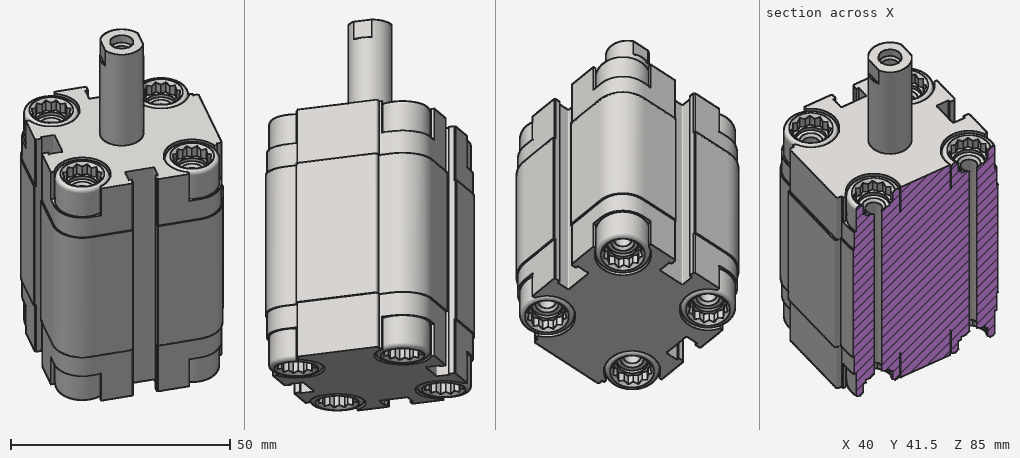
import cadquery as cq
import math

total_height = 85.0
housing_height = 59.5
end_height = 13.0

barrel_half_width = 40.0 / 2
end_half_width = 19.7
barrel_ledge_y = 41.5 - barrel_half_width
end_ledge_y = 21.0
ledge_half_width = 9.9
ledge_rounding = 0.5

slot_floor = 15.0
slot_lip_inner = 18.2
slot_half_width = 6.9 / 2
slot_mouth_half_width = 2.8
slot_rounding = 0.25

screw_offset = 13.0
head_radius = 12.5 / 2
seat_radius = 12.9 / 2
head_height = 7.6
head_fillet = 1.0
corner_cut_start = 10.45

socket_mouth_radius = 10.0 / 2
socket_point_radius = 4.6
socket_points = 12
socket_depth = 3.2
recess_radius = 7.2 / 2
recess_depth = 4.1
lead_in_radius = 5.3 / 2
screw_bore_radius = 3.9 / 2

rod_radius = 10.0 / 2
rod_seat_depth = end_height
flat_half_distance = 4.5
flat_height = 4.25
rod_counterbore_radius = 5.3 / 2
rod_counterbore_depth = 2.0
rod_bore_radius = 4.2 / 2
rod_bore_depth = 11.9
drill_cone_angle = 30

corners = [(sx * screw_offset, sy * screw_offset) for sx in (-1, 1) for sy in (-1, 1)]


def prism(half_width, ledge_y, bottom, top):
    """Rounded square prism with the raised ledge and the three T-slots."""
    height = top - bottom
    corner_radius = half_width - screw_offset
    square = (
        cq.Workplane("XY").workplane(offset=bottom)
        .rect(2 * half_width, 2 * half_width).extrude(height)
        .edges("|Z").fillet(corner_radius)
    )
    ledge = (
        cq.Workplane("XY").workplane(offset=bottom)
        .center(0, ledge_y / 2).rect(2 * ledge_half_width, ledge_y).extrude(height)
        .edges("|Z and >Y").fillet(ledge_rounding)
    )
    body = square.union(ledge)
    for angle in (-90, 0, 90):
        slot = t_slot(half_width, bottom, height).rotate((0, 0, 0), (0, 0, 1), angle)
        body = body.cut(slot)
    return body


def t_slot(face, bottom, height):
    """Cutter for a T-slot on the -Y side whose mouth edges are rounded where it meets the face."""
    mouth_end = slot_mouth_half_width + slot_rounding
    rounding_start = face - slot_rounding
    mouth = (
        cq.Workplane("XY").workplane(offset=bottom)
        .moveTo(-mouth_end, -face)
        .radiusArc((-slot_mouth_half_width, -rounding_start), slot_rounding)
        .lineTo(-slot_mouth_half_width, -slot_floor)
        .lineTo(slot_mouth_half_width, -slot_floor)
        .lineTo(slot_mouth_half_width, -rounding_start)
        .radiusArc((mouth_end, -face), slot_rounding)
        .close().extrude(height)
    )
    channel_depth = slot_lip_inner - slot_floor
    channel = (
        cq.Workplane("XY").workplane(offset=bottom)
        .center(0, -(slot_floor + slot_lip_inner) / 2)
        .rect(2 * slot_half_width, channel_depth).extrude(height)
        .edges("|Z and >Y").fillet(slot_rounding)
    )
    return channel.union(mouth)


def corner_cutter(x, y):
    """Cutter that clears one top corner and the seat of its screw head."""
    reach = barrel_half_width
    block_size = reach - corner_cut_start
    block_center = (reach + corner_cut_start) / 2
    plane = cq.Workplane("XY").workplane(offset=housing_height - head_height)
    block = (
        plane.center(math.copysign(block_center, x), math.copysign(block_center, y))
        .rect(block_size, block_size).extrude(head_height)
    )
    seat = plane.center(x, y).circle(seat_radius).extrude(head_height)
    return block.union(seat)


def screw_head(x, y):
    """Round head, flush with the top face, its upper edge rounded."""
    return (
        cq.Workplane("XY").workplane(offset=housing_height - head_height)
        .center(x, y).circle(head_radius).extrude(head_height)
        .faces(">Z").edges().fillet(head_fillet)
    )


def socket_cutter(x, y):
    """Twelve-point socket with a conical mouth, a round recess and a tapered lead-in to the bore."""
    valley_radius = socket_point_radius * math.cos(math.pi / 6) / math.cos(math.pi / socket_points)
    outline = []
    for i in range(2 * socket_points):
        radius = socket_point_radius if i % 2 == 0 else valley_radius
        angle = i * math.pi / socket_points
        outline.append((radius * math.cos(angle), radius * math.sin(angle)))
    star = cq.Workplane("XY").polyline(outline).close().extrude(-socket_depth)

    mouth_depth = socket_mouth_radius - valley_radius
    lead_in_end = recess_depth + lead_in_radius - screw_bore_radius
    turned = (
        cq.Workplane("XZ")
        .moveTo(0, 0)
        .lineTo(socket_mouth_radius, 0)
        .lineTo(valley_radius, -mouth_depth)
        .lineTo(recess_radius, -mouth_depth)
        .lineTo(recess_radius, -recess_depth)
        .lineTo(lead_in_radius, -recess_depth)
        .lineTo(screw_bore_radius, -lead_in_end)
        .lineTo(screw_bore_radius, -housing_height / 2)
        .lineTo(0, -housing_height / 2)
        .close().revolve(360, (0, 0, 0), (0, 1, 0))
    )
    return star.union(turned).translate((x, y, housing_height))


def at_both_ends(shape):
    """The shape together with its mirror image at the lower end of the housing."""
    lower = shape.mirror("XY", (0, 0, housing_height / 2))
    return [shape, lower]


def make_housing():
    barrel_top = housing_height - end_height
    body = prism(barrel_half_width, barrel_ledge_y, end_height, barrel_top)
    body = body.union(prism(end_half_width, end_ledge_y, 0, end_height))
    body = body.union(prism(end_half_width, end_ledge_y, barrel_top, housing_height))
    for x, y in corners:
        for cutter in at_both_ends(corner_cutter(x, y)):
            body = body.cut(cutter)
        for head in at_both_ends(screw_head(x, y)):
            body = body.union(head)
        for socket in at_both_ends(socket_cutter(x, y)):
            body = body.cut(socket)
    rod_seat = (
        cq.Workplane("XY").workplane(offset=housing_height - rod_seat_depth)
        .circle(rod_radius).extrude(rod_seat_depth)
    )
    return body.cut(rod_seat)


def make_piston_rod():
    bottom = housing_height - rod_seat_depth
    rod = cq.Workplane("XY").workplane(offset=bottom).circle(rod_radius).extrude(total_height - bottom)

    flat_thickness = rod_radius - flat_half_distance
    for side in (-1, 1):
        flat = cq.Workplane("XY").box(2 * rod_radius, flat_thickness, flat_height).translate(
            (0, side * (flat_half_distance + flat_thickness / 2), total_height - flat_height / 2)
        )
        rod = rod.cut(flat)

    cone_depth = rod_bore_radius * math.tan(math.radians(drill_cone_angle))
    shoulder_end = rod_counterbore_depth + rod_counterbore_radius - rod_bore_radius
    hole = (
        cq.Workplane("XZ")
        .moveTo(0, 0)
        .lineTo(rod_counterbore_radius, 0)
        .lineTo(rod_counterbore_radius, -rod_counterbore_depth)
        .lineTo(rod_bore_radius, -shoulder_end)
        .lineTo(rod_bore_radius, -rod_bore_depth)
        .lineTo(0, -rod_bore_depth - cone_depth)
        .close().revolve(360, (0, 0, 0), (0, 1, 0))
        .translate((0, 0, total_height))
    )
    return rod.cut(hole)


housing = make_housing()
piston_rod = make_piston_rod()

result = cq.Compound.makeCompound([*housing.solids().vals(), *piston_rod.solids().vals()])